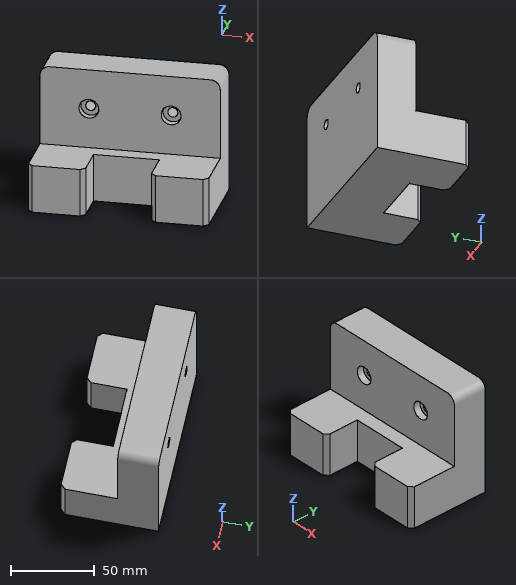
import cadquery as cq

width = 110.0
depth = 60.0
height = 80.0

wall_thickness = 25.0
foot_height = 30.0
wall_corner_radius = 6.0

slot_width = 40.0
slot_depth = 25.0
prong_chamfer = 3.0

hole_diameter = 6.0
counterbore_diameter = 12.0
counterbore_depth = 5.0
hole_spacing = 50.0
hole_height = 55.0

wall_front = depth - wall_thickness


def make_wall():
    wall = cq.Workplane("XY").box(width, wall_thickness, height, centered=(True, False, False))
    wall = wall.translate((0, wall_front, 0))
    return wall.edges("|Y and >Z").fillet(wall_corner_radius)


def make_foot():
    foot = cq.Workplane("XY").box(width, depth, foot_height, centered=(True, False, False))
    slot = cq.Workplane("XY").box(slot_width, slot_depth, foot_height, centered=(True, False, False))
    return foot.cut(slot).edges("|Z and <Y").chamfer(prong_chamfer)


def drill_mounting_holes(body):
    wall_face = cq.Workplane("XZ", origin=(0, wall_front, hole_height))
    centers = [(-hole_spacing / 2, 0), (hole_spacing / 2, 0)]
    holes = wall_face.pushPoints(centers).circle(hole_diameter / 2).extrude(-wall_thickness)
    counterbores = wall_face.pushPoints(centers).circle(counterbore_diameter / 2).extrude(-counterbore_depth)
    return body.cut(holes).cut(counterbores)


result = drill_mounting_holes(make_wall().union(make_foot()))